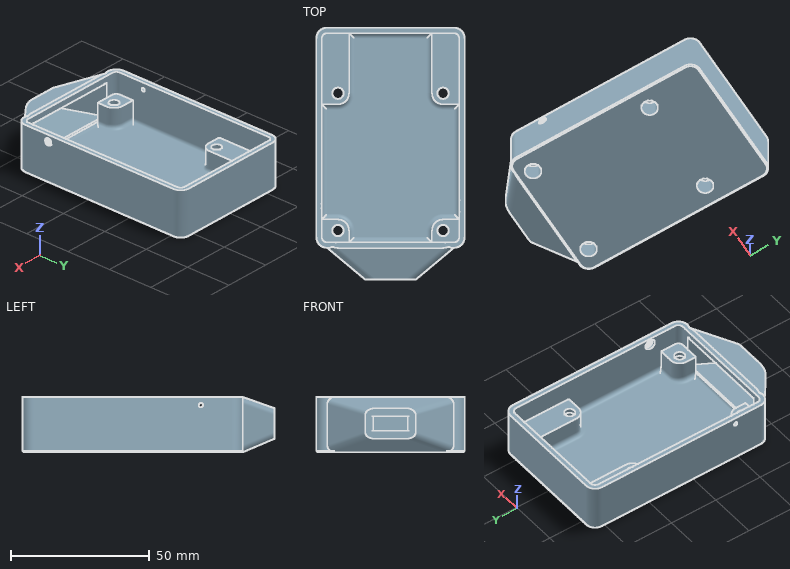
import cadquery as cq
cavity_width = 49.72
cavity_length = 75.72
wall = 2.0
height = 20.0
floor_thickness = 2.0
outer_corner_radius = 4.0
inner_corner_radius = outer_corner_radius - wall
bottom_chamfer = 0.5
floor_fillet = 1.99

outer_width = cavity_width + 2 * wall
outer_length = cavity_length + 2 * wall
cavity_front = -cavity_length / 2
cavity_back = cavity_length / 2
outer_front = -outer_length / 2

post_top = 10.9
post_radius = 4.0
screw_hole_diameter = 4.0
head_bore_diameter = 6.0
screw_seat_thickness = 2.0
screw_x = 19.0
screw_front_inset = 4.32
screw_back_inset = 21.76
screw_front_y = cavity_front + screw_front_inset
screw_back_y = cavity_back - screw_back_inset

small_hole_diameter = 1.5
stepped_hole_diameter = 3.1
recess_diameter = 4.2
recess_depth = 1.2
cross_hole_inset = 15.2
cross_hole_y = outer_front + cross_hole_inset
cross_hole_z = 17.05

nose_length = 11.45
nose_base_width = outer_width - 2 * outer_corner_radius
nose_end_width = 18.3
nose_end_height = 11.1
nose_end_z = 10.4
nose_edge_radius = 3.3
nose_overlap = 3.0
opening_width = 12.5
opening_height = 5.1
funnel_base_width = 40.0
funnel_base_height = 14.0


def box(x_min, x_max, y_min, y_max, z_min, z_max):
    """Axis-aligned box between the given limits."""
    return cq.Workplane("XY").box(
        x_max - x_min, y_max - y_min, z_max - z_min, centered=False
    ).translate((x_min, y_min, z_min))


def taper(y_base, base_width, base_height, base_z, y_end, end_width, end_height, end_z):
    """Rectangular frustum along -Y with flat sides: a plan wedge crossed with a side wedge."""
    plan = cq.Workplane("XY", origin=(0, 0, base_z)).polyline([
        (-base_width / 2, y_base),
        (base_width / 2, y_base),
        (end_width / 2, y_end),
        (-end_width / 2, y_end),
    ]).close().extrude(base_height, both=True)
    side = cq.Workplane("YZ").polyline([
        (y_base, base_z - base_height / 2),
        (y_base, base_z + base_height / 2),
        (y_end, end_z + end_height / 2),
        (y_end, end_z - end_height / 2),
    ]).close().extrude(base_width / 2, both=True)
    return plan.intersect(side)


def make_post(side, hole_y, wall_y):
    """Corner post reaching from the screw hole to the walls, with one round corner."""
    toward_wall = 1 if wall_y > hole_y else -1
    near_y = hole_y - toward_wall * post_radius
    inner_x = side * (screw_x - post_radius)
    outer_x = side * cavity_width / 2
    y_low, y_high = sorted((near_y, wall_y))
    x_low, x_high = sorted((inner_x, outer_x))
    post = box(x_low, x_high, y_low, y_high, floor_thickness, post_top)
    x_side = "<X" if side > 0 else ">X"
    y_side = "<Y" if toward_wall > 0 else ">Y"
    return post.edges("|Z").edges(x_side).edges(y_side).fillet(post_radius)


def make_cavity():
    """Open space above the floor and around the posts, rounded along the floor."""
    cavity = box(
        -cavity_width / 2, cavity_width / 2, cavity_front, cavity_back, floor_thickness, height
    ).edges("|Z").fillet(inner_corner_radius)
    for side in (-1, 1):
        cavity = cavity.cut(make_post(side, screw_front_y, cavity_front))
        cavity = cavity.cut(make_post(side, screw_back_y, cavity_back))
    return cavity.faces("<Z").edges().fillet(floor_fillet)


def make_body():
    """Rounded block with its tapered nose; the sloping nose edges are rounded into the block."""
    block = cq.Workplane("XY").box(outer_width, outer_length, height, centered=(True, True, False))
    block = block.edges("|Z").fillet(outer_corner_radius)
    block = block.faces("<Z").edges().chamfer(bottom_chamfer)
    return block.union(make_nose(overlap=0)).cut(make_nose_corners())


def make_nose(overlap):
    """Sharp-edged nose frustum whose flat sides run on into the block by the given overlap."""
    growth = overlap / nose_length
    return taper(
        outer_front + overlap,
        nose_base_width + growth * (nose_base_width - nose_end_width),
        height + growth * (height - nose_end_height),
        height / 2 + growth * (height / 2 - nose_end_z),
        outer_front - nose_length,
        nose_end_width,
        nose_end_height,
        nose_end_z,
    )


def make_nose_corners():
    """Slivers to remove along the sloping nose edges, ending on the block's round corners."""
    sharp_nose = make_nose(overlap=nose_overlap)
    round_nose = sharp_nose.edges("not(#Y)").fillet(nose_edge_radius)
    corner_center_y = outer_front + outer_corner_radius
    corner_centers = [(side * nose_base_width / 2, corner_center_y) for side in (-1, 1)]
    block_corners = (
        cq.Workplane("XY")
        .pushPoints(corner_centers)
        .circle(outer_corner_radius)
        .extrude(height)
    )
    return sharp_nose.cut(round_nose).cut(block_corners)


def make_funnel():
    """Tapered passage from the cavity to the opening at the nose tip."""
    return taper(
        cavity_front, funnel_base_width, funnel_base_height, height / 2,
        outer_front - nose_length, opening_width, opening_height, nose_end_z,
    )


def make_screw_holes():
    """Screw holes through the posts, widened from below to leave a seat at the post top."""
    places = [(x, y) for x in (-screw_x, screw_x) for y in (screw_front_y, screw_back_y)]
    layout = cq.Workplane("XY").pushPoints(places)
    holes = layout.circle(screw_hole_diameter / 2).extrude(height)
    head_bores = layout.circle(head_bore_diameter / 2).extrude(post_top - screw_seat_thickness)
    return holes.union(head_bores)


def make_cross_holes():
    """Hole through each long wall; the +X one is widened on the cavity side."""
    axis = cq.Workplane("YZ").center(cross_hole_y, cross_hole_z)
    small_hole = axis.circle(small_hole_diameter / 2).extrude(-outer_width / 2)
    stepped_hole = axis.circle(stepped_hole_diameter / 2).extrude(outer_width / 2)
    recess = axis.circle(recess_diameter / 2).extrude(cavity_width / 2 + recess_depth)
    return small_hole.union(stepped_hole).union(recess)


result = (
    make_body()
    .cut(make_cavity())
    .cut(make_funnel())
    .cut(make_screw_holes())
    .cut(make_cross_holes())
)